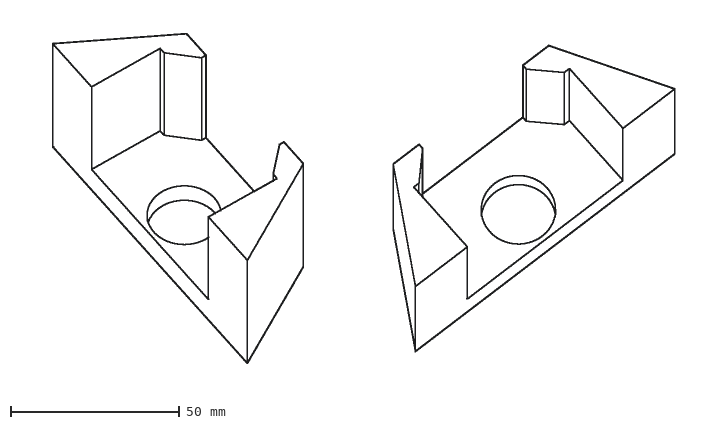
import cadquery as cq
import math

front_width = 100.0
back_width = 60.0
flank_angle = 60.0
height = 50.0
body_depth = (front_width - back_width) / 2 * math.tan(math.radians(flank_angle))

floor_thickness = 10.0
channel_width = 60.0
channel_depth = 25.0
mouth_width = 40.0
mouth_depth = 1.64
shoulder_width = 2.0

recess_diameter = 22.1
recess_depth = 7.0


def make_body():
    half_front = front_width / 2
    half_back = back_width / 2
    return (
        cq.Workplane("XY")
        .polyline([
            (-half_front, 0),
            (half_front, 0),
            (half_back, body_depth),
            (-half_back, body_depth),
        ])
        .close()
        .extrude(height)
    )


def make_channel():
    """Straight pocket that steps in at a shoulder and tapers to a narrower back mouth."""
    half_channel = channel_width / 2
    half_taper = half_channel - shoulder_width
    half_mouth = mouth_width / 2
    right_side = [
        (half_channel, 0),
        (half_channel, channel_depth),
        (half_taper, channel_depth),
        (half_mouth, body_depth - mouth_depth),
        (half_mouth, body_depth),
    ]
    left_side = [(-x, y) for x, y in reversed(right_side)]
    return (
        cq.Workplane("XY", origin=(0, 0, floor_thickness))
        .polyline(right_side + left_side)
        .close()
        .extrude(height - floor_thickness)
    )


def make_recess():
    return (
        cq.Workplane("XY", origin=(0, channel_depth / 2, floor_thickness - recess_depth))
        .circle(recess_diameter / 2)
        .extrude(recess_depth)
    )


result = make_body().cut(make_channel()).cut(make_recess())